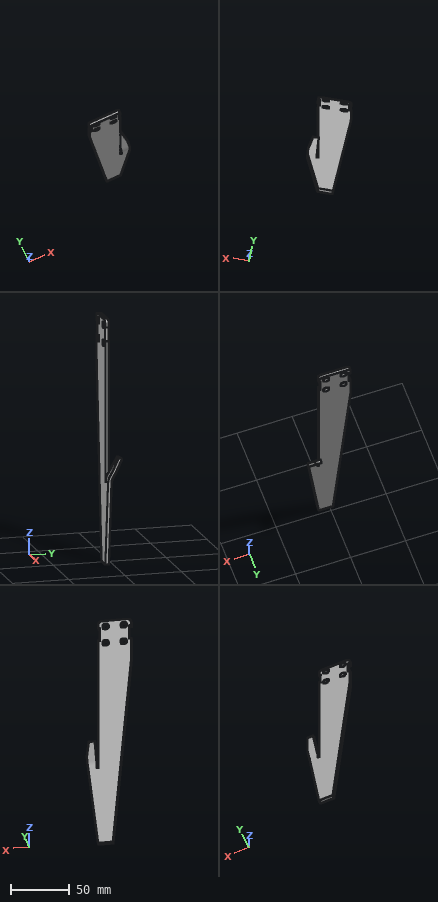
import cadquery as cq
import math

length = 216.0
thickness = 3.2
blade_width = 28.7
tip_left = 16.0
tip_right = 29.0
left_taper_top = 177.3

corner_radius = 3.2
notch_top = 209.5
notch_bottom = 197.1
left_notch_depth = 2.0
right_notch_depth = 1.3
hole_diameter = 5.5
hole_columns = (6.5, 22.2)
hole_rows = (210.5, 194.5)

slit_bottom = 73.5
tab_left = 30.0
tab_right = 38.0
right_taper_top = 77.3
bend_start = 74.0
bend_angle = 30.0
bend_outer_radius = 13.0
tab_top = 95.5
tab_shoulder = 84.6
tab_top_right = 35.2

bend_sine = math.sin(math.radians(bend_angle))
bend_cosine = math.cos(math.radians(bend_angle))
bend_end_y = bend_outer_radius * (1 - bend_cosine)
bend_end_z = bend_start + bend_outer_radius * bend_sine


def front_prism(points, depth):
    """Extrude an XZ outline from the front face toward +Y."""
    return cq.Workplane("XZ").polyline(points).close().extrude(-depth)


def make_blade():
    """Flat tapered blade, with the strip right of the slit ending at the bend."""
    taper_slope = (tab_right - tip_right) / right_taper_top
    outline = [
        (tip_left, 0),
        (tip_right, 0),
        (tip_right + taper_slope * bend_start, bend_start),
        (tab_left, bend_start),
        (tab_left, slit_bottom),
        (blade_width, slit_bottom),
        (blade_width, length),
        (0, length),
        (0, left_taper_top),
    ]
    blade = front_prism(outline, thickness)
    return blade.edges("|Y and >Z").fillet(corner_radius)


def make_notch(left, width):
    """Cutter for one of the edge notches below the rounded end."""
    notch_height = notch_top - notch_bottom
    return cq.Workplane("XY").box(width, thickness, notch_height, centered=False).translate(
        (left, 0, notch_bottom)
    )


def make_holes():
    """Cutter for the four mounting holes."""
    centers = [(x, z) for x in hole_columns for z in hole_rows]
    return cq.Workplane("XZ").pushPoints(centers).circle(hole_diameter / 2).extrude(-thickness)


def make_bend():
    """Curved root of the tab, trimmed to the right-hand taper of the blade."""
    center_y = bend_outer_radius
    inner_radius = bend_outer_radius - thickness

    def arc_point(radius, angle):
        turn = math.radians(angle)
        return (center_y - radius * math.cos(turn), bend_start + radius * math.sin(turn))

    curve = (
        cq.Workplane("YZ", origin=(tab_left, 0, 0))
        .moveTo(0, bend_start)
        .threePointArc(arc_point(bend_outer_radius, bend_angle / 2), arc_point(bend_outer_radius, bend_angle))
        .lineTo(*arc_point(inner_radius, bend_angle))
        .threePointArc(arc_point(inner_radius, bend_angle / 2), (thickness, bend_start))
        .close()
        .extrude(tab_right - tab_left)
    )
    outline = [
        (tab_left, 0),
        (tip_right, 0),
        (tab_right, right_taper_top),
        (tab_right, tab_top),
        (tab_left, tab_top),
    ]
    return curve.intersect(front_prism(outline, bend_outer_radius))


def make_tab():
    """Straight sloping end of the tab, with its outer corner cut away."""
    sloped_plane = cq.Plane(
        origin=(0, bend_end_y, bend_end_z),
        xDir=(1, 0, 0),
        normal=(0, -bend_cosine, bend_sine),
    )
    shoulder = (tab_shoulder - bend_end_z) / bend_cosine
    end = (tab_top - bend_end_z) / bend_cosine
    outline = [
        (tab_left, 0),
        (tab_right, 0),
        (tab_right, shoulder),
        (tab_top_right, end),
        (tab_left, end),
    ]
    return cq.Workplane(sloped_plane).polyline(outline).close().extrude(-thickness)


result = (
    make_blade()
    .cut(make_notch(0, left_notch_depth))
    .cut(make_notch(blade_width - right_notch_depth, right_notch_depth))
    .cut(make_holes())
    .union(make_bend())
    .union(make_tab())
)